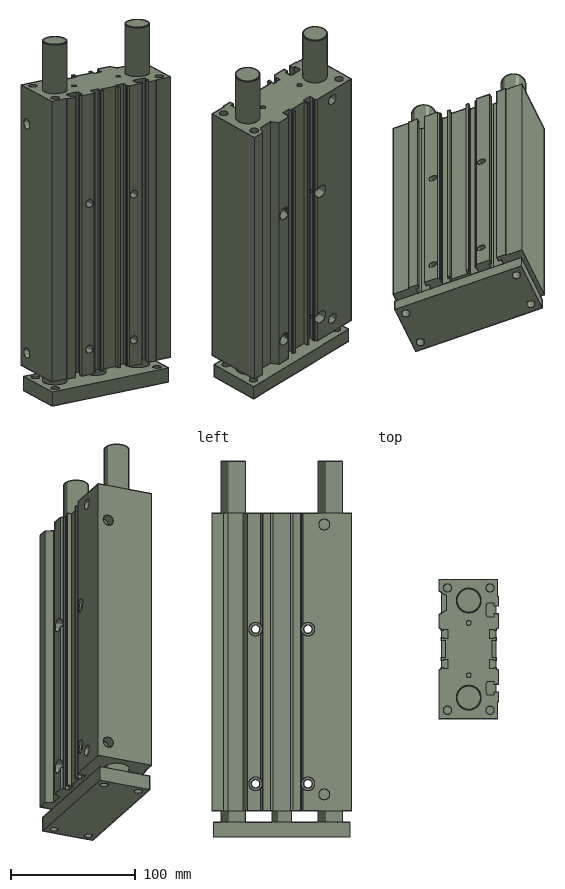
import cadquery as cq

TOTAL_HEIGHT = 302.0
PLATE_THICKNESS = 12.0
PLATE_GAP = 9.0
HOUSING_HEIGHT = 239.0
HOUSING_BOTTOM = PLATE_THICKNESS + PLATE_GAP
HOUSING_TOP = HOUSING_BOTTOM + HOUSING_HEIGHT

HOUSING_DEPTH = 48.0
HOUSING_WIDTH = 112.0
HALF_DEPTH = HOUSING_DEPTH / 2
HALF_WIDTH = HOUSING_WIDTH / 2
RELIEF_DEPTH = 1.0
RAISED_HALF_WIDTH = 42.3

PLATE_DEPTH = 44.0
PLATE_WIDTH = 110.0
GUIDE_ROD_DIAMETER = 20.0
GUIDE_ROD_SPACING = 78.0
GUIDE_ROD_CHAMFER = 0.5
PISTON_ROD_DIAMETER = 16.0
PLATE_HOLE_DIAMETER = 6.5
PLATE_HOLE_SPACING_X = 30.2
PLATE_HOLE_SPACING_Y = 96.0

SIDE_GROOVE_CENTRE_Y = 37.0
SIDE_GROOVE_MOUTH = 19.0
SIDE_GROOVE_FLOOR = 11.8
SIDE_GROOVE_DEPTH = 6.0

CHANNEL_MOUTH = 33.8
CHANNEL_FLOOR = 31.7
CHANNEL_DEPTH = 1.8
RECESS_WIDTH = 14.0
RECESS_DEPTH = 5.5
SENSOR_SLOT_OFFSET = 12.0
SENSOR_SLOT_MOUTH = 5.7
SENSOR_SLOT_WIDTH = 7.2
SENSOR_LIP_DEPTH = 3.5
SENSOR_SLOT_DEPTH = 7.2

T_SLOT_OFFSET = 31.5
T_SLOT_MOUTH = 6.0
T_SLOT_WIDTH = 11.2
T_SLOT_LIP_DEPTH = 3.5
T_SLOT_DEPTH = 10.0
T_SLOT_CHAMFER_DEPTH = 1.0
T_SLOT_CHAMFER_WIDTH = 1.8

MOUNT_SPACING_Y = 42.0
MOUNT_SPACING_Z = 124.0
MOUNT_LOWEST_Z = HOUSING_BOTTOM + 21.7
MOUNT_DIAMETER = 6.5
MOUNT_BORE_DIAMETER = 11.0
MOUNT_BORE_DEPTH = 9.0

CORNER_HOLE_DIAMETER = 6.5
CORNER_HOLE_SPACING_X = 34.0
CORNER_HOLE_SPACING_Y = 98.0
CORNER_HOLE_DEPTH = 15.0
DOWEL_HOLE_DIAMETER = 4.0
DOWEL_HOLE_DEPTH = 9.0
PORT_DIAMETER = 8.8
PORT_DEPTH = 9.0
LOWER_PORT_Z = HOUSING_BOTTOM + 13.3
FACE_PORT_Y = -34.0
FACE_PORT_UPPER_Z = HOUSING_TOP - 9.0
END_PORT_X = -15.0
END_PORT_UPPER_Z = HOUSING_TOP - 30.5


def pair(spacing):
    """Two coordinates placed symmetrically about zero."""
    return (-spacing / 2, spacing / 2)


def cylinder(diameter, length, start, direction):
    """Cylinder that begins at a point and runs along a direction."""
    return cq.Workplane(
        cq.Solid.makeCylinder(diameter / 2, length, cq.Vector(*start), cq.Vector(*direction))
    )


def face_groove(steps, centre_y):
    """Full-height groove cutter in the -X face, symmetric about centre_y.

    Each step is (depth from the face, width there), from the face inward.
    """
    lower_side = [(depth - HALF_DEPTH, centre_y - width / 2) for depth, width in steps]
    upper_side = [(depth - HALF_DEPTH, centre_y + width / 2) for depth, width in reversed(steps)]
    return (
        cq.Workplane("XY", origin=(0, 0, HOUSING_BOTTOM))
        .polyline(lower_side + upper_side)
        .close()
        .extrude(HOUSING_HEIGHT)
    )


def on_opposite_face(cutter):
    return cutter.mirror("YZ")


def central_channel():
    """Wide shallow channel with a middle recess and two undercut sensor slots."""
    channel = face_groove([(0, CHANNEL_MOUTH), (CHANNEL_DEPTH, CHANNEL_FLOOR)], 0)
    recess = face_groove([(0, RECESS_WIDTH), (RECESS_DEPTH, RECESS_WIDTH)], 0)
    channel = channel.union(recess)
    slot_profile = [
        (0, SENSOR_SLOT_MOUTH),
        (SENSOR_LIP_DEPTH, SENSOR_SLOT_MOUTH),
        (SENSOR_LIP_DEPTH, SENSOR_SLOT_WIDTH),
        (SENSOR_SLOT_DEPTH, SENSOR_SLOT_WIDTH),
    ]
    for slot_y in (-SENSOR_SLOT_OFFSET, SENSOR_SLOT_OFFSET):
        channel = channel.union(face_groove(slot_profile, slot_y))
    return channel


def cut_grooves(body):
    side_groove = face_groove(
        [(0, SIDE_GROOVE_MOUTH), (SIDE_GROOVE_DEPTH, SIDE_GROOVE_FLOOR)], SIDE_GROOVE_CENTRE_Y
    )
    channel = central_channel()
    body = body.cut(side_groove).cut(channel).cut(on_opposite_face(channel))

    t_slot_profile = [
        (0, T_SLOT_MOUTH),
        (T_SLOT_LIP_DEPTH, T_SLOT_MOUTH),
        (T_SLOT_LIP_DEPTH, T_SLOT_WIDTH),
        (T_SLOT_DEPTH - T_SLOT_CHAMFER_DEPTH, T_SLOT_WIDTH),
        (T_SLOT_DEPTH, T_SLOT_WIDTH - 2 * T_SLOT_CHAMFER_WIDTH),
    ]
    for slot_y in (-T_SLOT_OFFSET, T_SLOT_OFFSET):
        body = body.cut(on_opposite_face(face_groove(t_slot_profile, slot_y)))
    return body


def cut_margin_reliefs(body):
    """Set back the outer margins of the +X face by the relief depth."""
    margin = HALF_WIDTH - RAISED_HALF_WIDTH
    for centre_y in pair(HOUSING_WIDTH - margin):
        relief = (
            cq.Workplane("XY", origin=(HALF_DEPTH - RELIEF_DEPTH / 2, centre_y, HOUSING_BOTTOM))
            .rect(RELIEF_DEPTH, margin)
            .extrude(HOUSING_HEIGHT)
        )
        body = body.cut(relief)
    return body


def cut_mounting_holes(body):
    """Through holes along X, counterbored in the -X face."""
    for y in pair(MOUNT_SPACING_Y):
        for z in (MOUNT_LOWEST_Z, MOUNT_LOWEST_Z + MOUNT_SPACING_Z):
            start = (-HALF_DEPTH, y, z)
            body = body.cut(cylinder(MOUNT_DIAMETER, HOUSING_DEPTH, start, (1, 0, 0)))
            body = body.cut(cylinder(MOUNT_BORE_DIAMETER, MOUNT_BORE_DEPTH, start, (1, 0, 0)))
    return body


def cut_top_holes(body):
    """Blind corner and dowel holes in the top face."""
    down = (0, 0, -1)
    for y in pair(CORNER_HOLE_SPACING_Y):
        for x in pair(CORNER_HOLE_SPACING_X):
            start = (x, y, HOUSING_TOP)
            body = body.cut(cylinder(CORNER_HOLE_DIAMETER, CORNER_HOLE_DEPTH, start, down))
    for y in pair(MOUNT_SPACING_Y):
        start = (0, y, HOUSING_TOP)
        body = body.cut(cylinder(DOWEL_HOLE_DIAMETER, DOWEL_HOLE_DEPTH, start, down))
    return body


def cut_ports(body):
    """Blind air ports in the -X and -Y faces."""
    for z in (LOWER_PORT_Z, FACE_PORT_UPPER_Z):
        start = (-HALF_DEPTH, FACE_PORT_Y, z)
        body = body.cut(cylinder(PORT_DIAMETER, PORT_DEPTH, start, (1, 0, 0)))
    for z in (LOWER_PORT_Z, END_PORT_UPPER_Z):
        start = (END_PORT_X, -HALF_WIDTH, z)
        body = body.cut(cylinder(PORT_DIAMETER, PORT_DEPTH, start, (0, 1, 0)))
    return body


def cut_guide_bores(body):
    """Through bores that the guide rods fill."""
    for y in pair(GUIDE_ROD_SPACING):
        start = (0, y, HOUSING_BOTTOM)
        body = body.cut(cylinder(GUIDE_ROD_DIAMETER, HOUSING_HEIGHT, start, (0, 0, 1)))
    return body


def make_housing():
    body = (
        cq.Workplane("XY", origin=(0, 0, HOUSING_BOTTOM))
        .rect(HOUSING_DEPTH, HOUSING_WIDTH)
        .extrude(HOUSING_HEIGHT)
    )
    body = cut_margin_reliefs(body)
    body = cut_grooves(body)
    body = cut_guide_bores(body)
    body = cut_mounting_holes(body)
    body = cut_top_holes(body)
    return cut_ports(body)


def make_carriage():
    """End plate with its two guide rods and the piston rod, which meets the housing underside."""
    up = (0, 0, 1)
    carriage = cq.Workplane("XY").rect(PLATE_DEPTH, PLATE_WIDTH).extrude(PLATE_THICKNESS)
    for y in pair(PLATE_HOLE_SPACING_Y):
        for x in pair(PLATE_HOLE_SPACING_X):
            carriage = carriage.cut(cylinder(PLATE_HOLE_DIAMETER, PLATE_THICKNESS, (x, y, 0), up))
    guide_length = TOTAL_HEIGHT - PLATE_THICKNESS
    for y in pair(GUIDE_ROD_SPACING):
        guide_rod = cylinder(GUIDE_ROD_DIAMETER, guide_length, (0, y, PLATE_THICKNESS), up)
        guide_rod = guide_rod.faces(">Z").chamfer(GUIDE_ROD_CHAMFER)
        carriage = carriage.union(guide_rod)
    piston_rod = cylinder(PISTON_ROD_DIAMETER, PLATE_GAP, (0, 0, PLATE_THICKNESS), up)
    return carriage.union(piston_rod)


housing = make_housing()
carriage = make_carriage()
result = cq.Compound.makeCompound([housing.val(), carriage.val()])